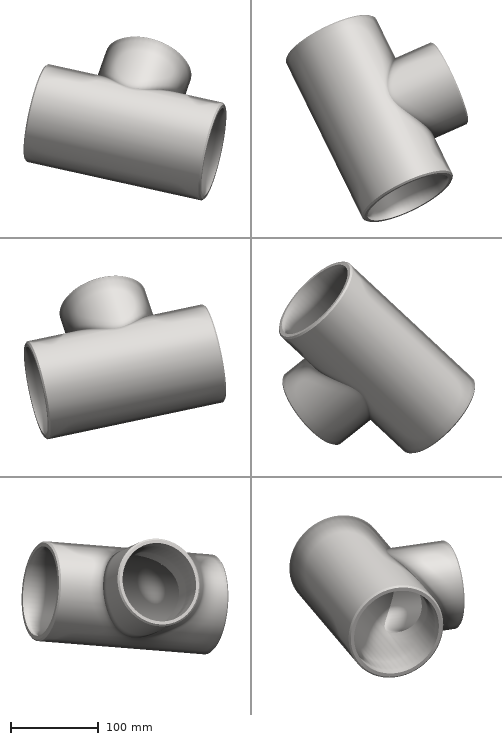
import cadquery as cq

run_length = 209.3
run_diameter = 114.3
run_bore = 102.3

branch_reach = 101.5
branch_diameter = 101.7
branch_bore = 90.8

end_chamfer = 1.9


def run_cylinder(diameter):
    """Cylinder along X over the full length of the main pipe."""
    return cq.Workplane("YZ").circle(diameter / 2).extrude(run_length / 2, both=True)


def branch_cylinder(diameter):
    """Cylinder from the main axis to the open end of the branch."""
    return cq.Workplane("XZ").circle(diameter / 2).extrude(-branch_reach)


run_body = run_cylinder(run_diameter).faces("<X or >X").edges().chamfer(end_chamfer)
branch_body = branch_cylinder(branch_diameter).faces(">Y").edges().chamfer(end_chamfer)

result = (
    run_body.union(branch_body)
    .cut(run_cylinder(run_bore))
    .cut(branch_cylinder(branch_bore))
)